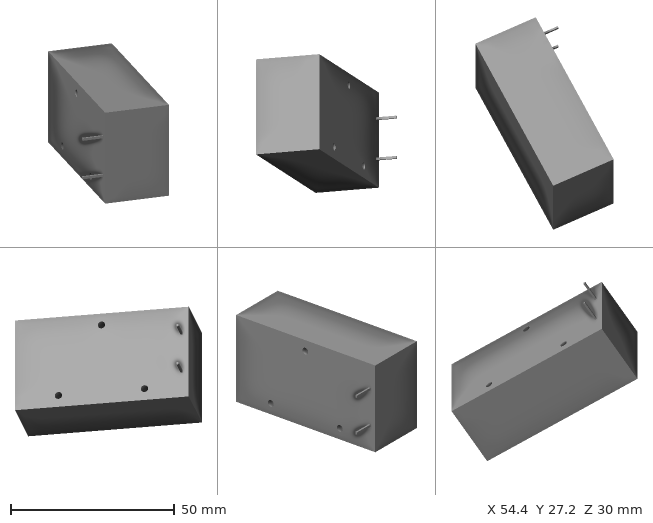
import cadquery as cq

body_width = 54.36
body_height = 29.97
overall_depth = 27.23
pin_length = 6.6
body_depth = overall_depth - pin_length

pin_width = 0.6
pin_height = 0.8
pin_pitch = 12.7
pin_edge_distance = 2.21
pin_x = body_width / 2 - pin_edge_distance
pin_center_z = -0.1
pin_positions = [
    (pin_x, pin_center_z - pin_pitch / 2),
    (pin_x, pin_center_z + pin_pitch / 2),
]

hole_diameter = 2.25
hole_depth = 5.0
hole_pair_pitch = 26.95
hole_row_pitch = 22.4
hole_pattern_x = -0.13
hole_positions = [
    (hole_pattern_x - hole_pair_pitch / 2, -hole_row_pitch / 2),
    (hole_pattern_x + hole_pair_pitch / 2, -hole_row_pitch / 2),
    (hole_pattern_x, hole_row_pitch / 2),
]


def make_body():
    """Plain block whose mounting face lies on the plane Y = 0."""
    return cq.Workplane("XY").box(body_width, body_depth, body_height, centered=(True, False, True))


def make_pins():
    """Rectangular pins running from the mounting face toward -Y."""
    return cq.Workplane("XZ").pushPoints(pin_positions).rect(pin_width, pin_height).extrude(pin_length)


def make_holes():
    """Cylinders running from the mounting face into the body toward +Y."""
    return cq.Workplane("XZ").pushPoints(hole_positions).circle(hole_diameter / 2).extrude(-hole_depth)


result = make_body().cut(make_holes()).union(make_pins())